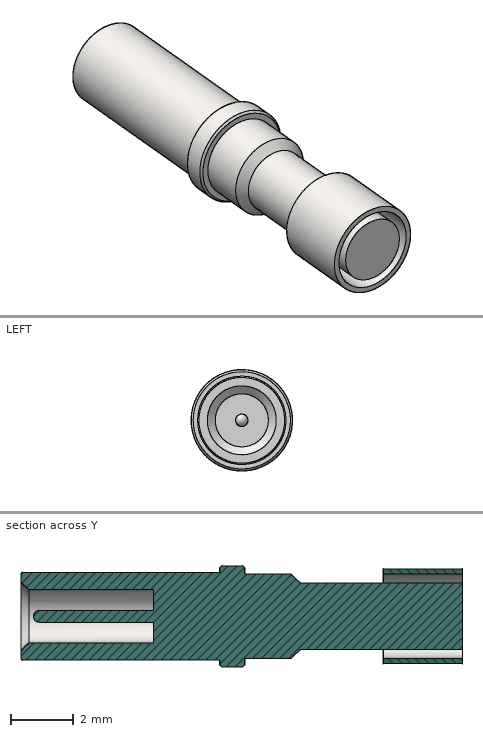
import cadquery as cq

total_length = 14.22

barrel_radius = 1.42
barrel_edge_chamfer = 0.04
socket_mouth_radius = 1.11
socket_radius = 0.85
lead_in_depth = socket_mouth_radius - socket_radius
socket_depth = 4.27

pin_radius = 0.2
pin_tip_x = 0.4

collar_start = 6.4
collar_end = 7.21
collar_radius = 1.64
collar_chamfer = 0.07

shoulder_radius = 1.37
taper_start = 8.7
taper_end = 9.0
stem_radius = 1.08

ferrule_length = 2.56
ferrule_radius = 1.54
ferrule_bore_radius = 1.35
ferrule_start = total_length - ferrule_length


def cylinder(start, end, radius):
    """Solid cylinder on the X axis between two X positions."""
    return cq.Workplane("YZ").workplane(offset=start).circle(radius).extrude(end - start)


def make_barrel():
    """Front barrel with a chamfered outer edge at its open end."""
    return cylinder(0, collar_start, barrel_radius).faces("<X").chamfer(barrel_edge_chamfer)


def make_collar():
    """Raised ring with both outer edges chamfered."""
    return cylinder(collar_start, collar_end, collar_radius).edges().chamfer(collar_chamfer)


def make_rear():
    """Shoulder, conical taper and stem."""
    return (
        cq.Workplane("XY")
        .moveTo(collar_end, 0)
        .lineTo(collar_end, shoulder_radius)
        .lineTo(taper_start, shoulder_radius)
        .lineTo(taper_end, stem_radius)
        .lineTo(total_length, stem_radius)
        .lineTo(total_length, 0)
        .close()
        .revolve(360, (0, 0, 0), (1, 0, 0))
    )


def make_socket():
    """Blind bore with a conical lead-in, to be cut from the barrel."""
    return (
        cq.Workplane("XY")
        .lineTo(0, socket_mouth_radius)
        .lineTo(lead_in_depth, socket_radius)
        .lineTo(socket_depth, socket_radius)
        .lineTo(socket_depth, 0)
        .close()
        .revolve(360, (0, 0, 0), (1, 0, 0))
    )


def make_pin():
    """Round-tipped contact standing on the floor of the socket."""
    tip_center_x = pin_tip_x + pin_radius
    tip = cq.Workplane("XY").sphere(pin_radius).translate((tip_center_x, 0, 0))
    return cylinder(tip_center_x, socket_depth, pin_radius).union(tip)


def make_contact_body():
    """Turned body with its contact pin, as one solid."""
    outside = make_barrel().union(make_collar()).union(make_rear())
    return outside.cut(make_socket()).union(make_pin())


def make_ferrule():
    """Plain sleeve with a clearance bore around the stem."""
    bore = cylinder(ferrule_start, total_length, ferrule_bore_radius)
    return cylinder(ferrule_start, total_length, ferrule_radius).cut(bore)


contact_body = make_contact_body()
ferrule = make_ferrule()

result = cq.Compound.makeCompound([contact_body.val(), ferrule.val()])